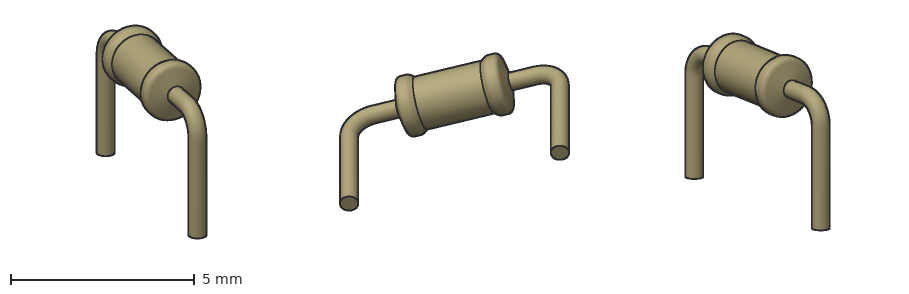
import cadquery as cq

lead_diameter = 0.5
lead_radius = lead_diameter / 2
lead_pitch = 6.0
bend_radius = 0.7

body_length = 3.2
half_body = body_length / 2
cap_radius = 1.7 / 2
barrel_radius = 1.49 / 2
end_cone_length = 0.16
crown_length = 0.32
shoulder_length = 0.16
crown_fillet = 0.15

overall_height = 4.45
axis_height = cap_radius
lead_tip_z = 2 * cap_radius - overall_height

crown_outer_x = half_body - end_cone_length
crown_inner_x = crown_outer_x - crown_length
barrel_end_x = crown_inner_x - shoulder_length


def make_body():
    """Barrel with a wider rounded cap at each end."""
    half_outline = [
        (barrel_end_x, barrel_radius),
        (crown_inner_x, cap_radius),
        (crown_outer_x, cap_radius),
        (half_body, lead_radius),
    ]
    mirrored_outline = [(-x, radius) for x, radius in reversed(half_outline)]
    outline = [(-half_body, 0)] + mirrored_outline + half_outline + [(half_body, 0)]
    body = (
        cq.Workplane("XY")
        .polyline(outline)
        .close()
        .revolve(360, (0, 0, 0), (1, 0, 0))
    )
    crown_corners = cq.selectors.RadiusNthSelector(-1)
    body = body.edges(crown_corners).fillet(crown_fillet)
    return body.translate((0, 0, axis_height))


def make_leads():
    """One wire along the body axis, bent down at both ends."""
    half_pitch = lead_pitch / 2
    bend_start_x = half_pitch - bend_radius
    bend_end_z = axis_height - bend_radius
    path = (
        cq.Workplane("XZ")
        .moveTo(-half_pitch, lead_tip_z)
        .lineTo(-half_pitch, bend_end_z)
        .tangentArcPoint((-bend_start_x, axis_height), relative=False)
        .lineTo(bend_start_x, axis_height)
        .tangentArcPoint((half_pitch, bend_end_z), relative=False)
        .lineTo(half_pitch, lead_tip_z)
    )
    return (
        cq.Workplane("XY", origin=(-half_pitch, 0, lead_tip_z))
        .circle(lead_radius)
        .sweep(path)
    )


result = make_body().union(make_leads())